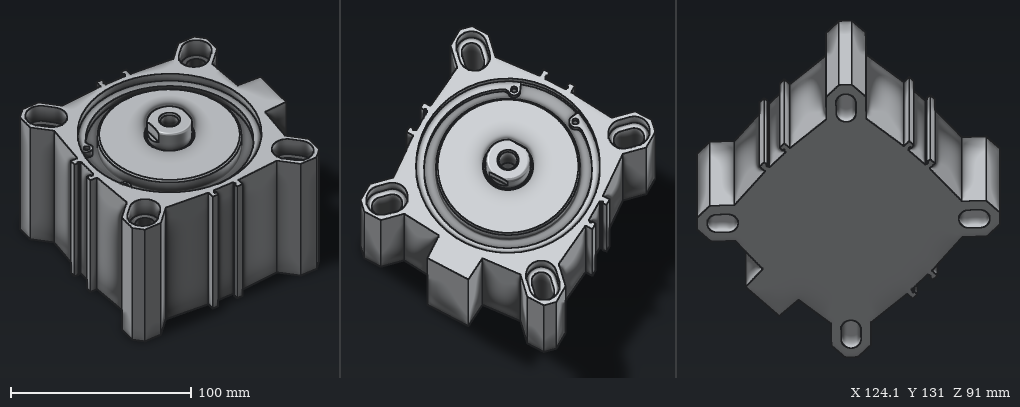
import cadquery as cq
import math


half_width = 62.03
ear_shoulder = 46.4
ear_chamfer = 5.1
face_mid = 54.6
face_end = 52.47
housing_height = 81.2

block_reach = 68.97
block_tip_half_width = 13.0
block_root_half_width = 13.9
block_root = face_end

rib_tip = 59.0
rib_outer_side = 10.0
rib_tip_inner_side = 6.3
rib_lip_inner_side = 6.0
rib_neck_inner_side = 6.4
rib_groove_inner_side = 7.0
rib_groove_outer = 56.6
rib_groove_inner = 55.5

slot_centre = 49.4
slot_spacing = 6.2
slot_width = 11.0
slot_recess_width = 17.2
slot_recess_depth = 11.0

bore_diameter = 102.2
ring_outer_diameter = 106.2
ring_inner_diameter = 93.3
ring_depth = 5.1
ring_thickness = 4.0
lug_hole_diameter = 3.5
lug_radius = 3.4
lug_hole_x = 19.4
lug_hole_y = -42.2
lug_blend_radius = 3.7

flange_thickness = 20.0
boss_diameter = 80.0
boss_recess = 1.0
boss_chamfer = 1.0
boss_root_fillet = 0.9
wiper_rim_diameter = 28.0
wiper_seat_diameter = 26.9
wiper_seat_depth = 1.3

rod_diameter = 25.0
rod_top = 91.0
rod_fillet = 1.8
flat_offset = 11.0
flat_bottom_above_housing = 2.8
thread_diameter = 10.1
thread_depth = 20.0
thread_chamfer_diameter = 11.9
thread_chamfer_depth = 1.0
drill_tip_angle = 118

ring_top = housing_height - ring_depth
ring_bottom = ring_top - ring_thickness
seat_floor = ring_bottom - flange_thickness
boss_top = housing_height - boss_recess


def cylinder(diameter, bottom, top):
    return cq.Workplane("XY").workplane(offset=bottom).circle(diameter / 2).extrude(top - bottom)


def prism(points, bottom, top):
    return cq.Workplane("XY").workplane(offset=bottom).polyline(points).close().extrude(top - bottom)


def turned(point, angle):
    """Rotate a point about the axis by an angle in degrees."""
    c = math.cos(math.radians(angle))
    s = math.sin(math.radians(angle))
    x, y = point
    return (c * x - s * y, s * x + c * y)



def housing_profile():
    ear_root = face_end - (half_width - ear_shoulder)
    ear_corner = half_width - ear_chamfer
    quarter = [
        (face_end, -ear_root),
        (face_mid, -rib_outer_side),
        (face_mid, rib_outer_side),
        (face_end, ear_root),
        (half_width, ear_shoulder),
        (half_width, ear_corner),
        (ear_corner, half_width),
        (ear_shoulder, half_width),
    ]
    points = [turned(point, angle) for angle in (0, 90, 180, 270) for point in quarter]
    return prism(points, 0, housing_height)


def port_block():
    points = [
        (-block_root_half_width, block_root),
        (block_root_half_width, block_root),
        (block_tip_half_width, block_reach),
        (-block_tip_half_width, block_reach),
    ]
    return prism(points, 0, housing_height)


def sensor_rail(angle):
    """A pair of facing ribs, on the +X side before turning by the angle."""
    outline = [
        (face_end, rib_outer_side),
        (rib_tip, rib_outer_side),
        (rib_tip, rib_tip_inner_side),
        (rib_groove_outer, rib_lip_inner_side),
        (rib_groove_outer, rib_groove_inner_side),
        (rib_groove_inner, rib_groove_inner_side),
        (rib_groove_inner, rib_neck_inner_side),
        (face_end, rib_neck_inner_side),
    ]
    rib = prism(outline, 0, housing_height)
    return rib.union(rib.mirror("XZ")).rotate((0, 0, 0), (0, 0, 1), angle)


def corner_slots(width, bottom):
    places = [turned((slot_centre * math.sqrt(2), 0), angle) for angle in (45, 135, 225, 315)]
    slots = cq.Workplane("XY").workplane(offset=bottom)
    for x, y in places:
        direction = math.degrees(math.atan2(y, x))
        slots = slots.moveTo(x, y).slot2D(slot_spacing + width, width, direction)
    return slots.extrude(housing_height - bottom)


def make_housing():
    body = housing_profile().union(port_block())
    for angle in (0, 180, 270):
        body = body.union(sensor_rail(angle))
    body = body.cut(corner_slots(slot_width, 0))
    body = body.cut(corner_slots(slot_recess_width, housing_height - slot_recess_depth))
    body = body.cut(cylinder(bore_diameter, seat_floor, housing_height))
    return body.cut(cylinder(ring_outer_diameter, ring_bottom, ring_top))



def make_head_cover():
    boss_radius = boss_diameter / 2
    rod_radius = rod_diameter / 2
    seat_radius = wiper_seat_diameter / 2
    rim_radius = wiper_rim_diameter / 2
    fillet_middle = boss_root_fillet * (1 - math.sqrt(0.5))
    return (
        cq.Workplane("XZ")
        .moveTo(rod_radius, seat_floor)
        .lineTo(bore_diameter / 2, seat_floor)
        .lineTo(bore_diameter / 2, ring_bottom)
        .lineTo(boss_radius + boss_root_fillet, ring_bottom)
        .threePointArc(
            (boss_radius + fillet_middle, ring_bottom + fillet_middle),
            (boss_radius, ring_bottom + boss_root_fillet),
        )
        .lineTo(boss_radius, boss_top - boss_chamfer)
        .lineTo(boss_radius - boss_chamfer, boss_top)
        .lineTo(rim_radius, boss_top)
        .lineTo(seat_radius, boss_top - (rim_radius - seat_radius))
        .lineTo(seat_radius, boss_top - wiper_seat_depth)
        .lineTo(rod_radius, boss_top - wiper_seat_depth)
        .close()
        .revolve(360, (0, 0, 0), (0, 1, 0))
    )



def wrench_flat(side):
    """Cutter for a flat facing +Y (side 1) or -Y (side -1), ending in a 45 degree run-out."""
    rod_radius = rod_diameter / 2
    flat_bottom = housing_height + flat_bottom_above_housing
    outside = rod_diameter
    points = [
        (side * flat_offset, rod_top),
        (side * flat_offset, flat_bottom),
        (side * outside, flat_bottom - (outside - flat_offset)),
        (side * outside, rod_top),
    ]
    return cq.Workplane("YZ").polyline(points).close().extrude(rod_radius, both=True)


def thread_hole():
    hole_radius = thread_diameter / 2
    tip_depth = hole_radius / math.tan(math.radians(drill_tip_angle / 2))
    points = [
        (0, rod_top),
        (thread_chamfer_diameter / 2, rod_top),
        (hole_radius, rod_top - thread_chamfer_depth),
        (hole_radius, rod_top - thread_depth),
        (0, rod_top - thread_depth - tip_depth),
    ]
    return cq.Workplane("XZ").polyline(points).close().revolve(360, (0, 0, 0), (0, 1, 0))


def make_piston_rod():
    rod = cylinder(rod_diameter, seat_floor, rod_top).faces(">Z").edges().fillet(rod_fillet)
    for side in (1, -1):
        rod = rod.cut(wrench_flat(side))
    return rod.cut(thread_hole())



def make_retaining_ring():
    outer_radius = ring_outer_diameter / 2
    inner_radius = ring_inner_diameter / 2
    lug_distance = math.hypot(lug_hole_x, lug_hole_y)
    lug_angle = math.degrees(math.atan2(lug_hole_x, -lug_hole_y))

    disc = cylinder(ring_outer_diameter, ring_bottom, ring_top)
    ring = disc.cut(cylinder(ring_inner_diameter, ring_bottom, ring_top))

    opening_corners = [(0, 0)]
    for side in (-1, 1):
        opening_corners.append(turned((0, -2 * outer_radius), side * lug_angle))
    ring = ring.cut(prism(opening_corners, ring_bottom, ring_top))

    strip_corners = [
        (-lug_radius, 0),
        (lug_radius, 0),
        (lug_radius, -outer_radius),
        (-lug_radius, -outer_radius),
    ]
    strip = prism(strip_corners, ring_bottom, ring_top)
    eye = cylinder(2 * lug_radius, ring_bottom, ring_top)
    straight_lug = eye.union(strip).translate((0, -lug_distance, 0))
    for side in (1, -1):
        lug = straight_lug.rotate((0, 0, 0), (0, 0, 1), side * lug_angle).intersect(disc)
        ring = ring.union(lug)

    cross_y = (lug_distance**2 + inner_radius**2 - lug_radius**2) / (2 * lug_distance)
    corner_angle = lug_angle + math.degrees(math.acos(cross_y / inner_radius))
    for side in (1, -1):
        x, y = turned((0, -inner_radius), side * corner_angle)
        corner = cq.selectors.NearestToPointSelector((x, y, (ring_bottom + ring_top) / 2))
        ring = ring.edges("|Z").edges(corner).fillet(lug_blend_radius)

    for side in (1, -1):
        hole = cylinder(lug_hole_diameter, ring_bottom, ring_top)
        ring = ring.cut(hole.translate((side * lug_hole_x, lug_hole_y, 0)))
    return ring


housing = make_housing()
head_cover = make_head_cover()
piston_rod = make_piston_rod()
retaining_ring = make_retaining_ring()

result = cq.Compound.makeCompound([
    housing.val(),
    head_cover.val(),
    piston_rod.val(),
    retaining_ring.val(),
])